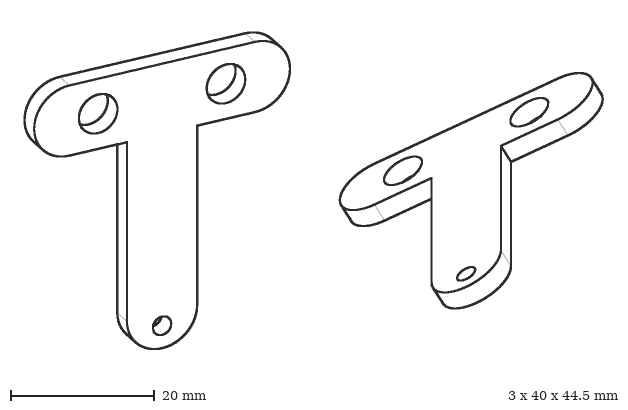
import cadquery as cq

thickness = 3.0
total_height = 44.5
bar_length = 40.0
arm_width = 11.0
bar_hole_diameter = 6.0
bar_hole_spacing = 20.0
stem_hole_diameter = 2.85
stem_hole_height = 3.5

end_radius = arm_width / 2
bar_center_z = total_height - end_radius
stem_round_z = end_radius


def plate_sketch():
    """Sketch plane with local x along Y and local y along Z."""
    return cq.Workplane("YZ")


def make_crossbar():
    """Horizontal bar with fully rounded ends."""
    return plate_sketch().center(0, bar_center_z).slot2D(bar_length, arm_width).extrude(thickness)


def make_stem():
    """Vertical arm with a fully rounded lower end, reaching into the crossbar."""
    return (
        plate_sketch()
        .moveTo(-end_radius, bar_center_z)
        .lineTo(-end_radius, stem_round_z)
        .threePointArc((0, 0), (end_radius, stem_round_z))
        .lineTo(end_radius, bar_center_z)
        .close()
        .extrude(thickness)
    )


def make_hole_cutters(centers, diameter):
    """Cylinders through the full plate thickness."""
    return plate_sketch().pushPoints(centers).circle(diameter / 2).extrude(thickness)


bar_hole_centers = [(side * bar_hole_spacing / 2, bar_center_z) for side in (-1, 1)]
stem_hole_centers = [(0, stem_hole_height)]

result = (
    make_crossbar()
    .union(make_stem())
    .cut(make_hole_cutters(bar_hole_centers, bar_hole_diameter))
    .cut(make_hole_cutters(stem_hole_centers, stem_hole_diameter))
    .clean()
)